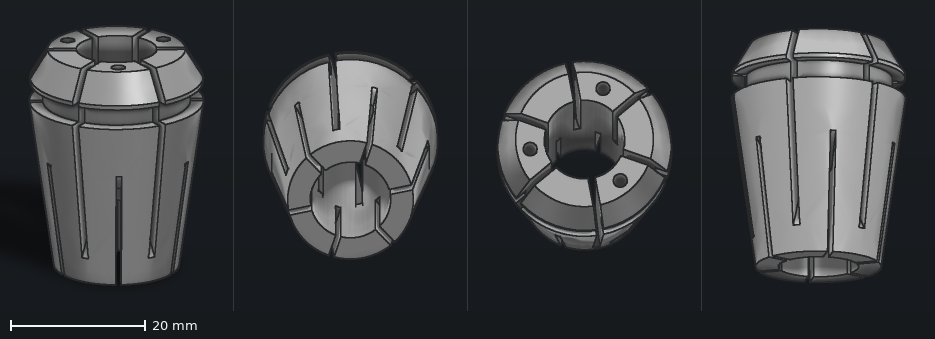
import cadquery as cq
import math

LENGTH = 34.0
BODY_TOP_Z = 25.87
GROOVE_TOP_Z = 28.95
RIM_TOP_Z = 29.58
BODY_DIAMETER = 26.0
BODY_RADIUS = BODY_DIAMETER / 2
TAPER_ANGLE = 8.0
GROOVE_RADIUS = 11.0
RIM_RADIUS = 12.92
NOSE_RADIUS = 10.27
BORE_RADIUS = 6.0
BASE_RADIUS = BODY_RADIUS - BODY_TOP_Z * math.tan(math.radians(TAPER_ANGLE))

SLOT_COUNT = 6
SLOT_PITCH = 360 / SLOT_COUNT
BLADE_RADIUS = 25.0
TOP_SLOT_WIDTH = 1.05
TOP_BLADE_R = 30.77
TOP_BLADE_Z = 17.8
BOTTOM_SLOT_WIDTH = 0.8
BOTTOM_BLADE_R = 30.77
BOTTOM_BLADE_Z = 1.63
BOTTOM_SLOT_FLAT_Z = 12.95

HOLE_COUNT = 3
HOLE_RADIUS = 1.02
HOLE_CENTER_R = 8.23
HOLE_FLOOR_Z = 12.8
HOLE_LEAN = 0.85


def make_body():
    """Revolve the wall section around Z."""
    section = [
        (BORE_RADIUS, 0),
        (BASE_RADIUS, 0),
        (BODY_RADIUS, BODY_TOP_Z),
        (GROOVE_RADIUS, BODY_TOP_Z),
        (GROOVE_RADIUS, GROOVE_TOP_Z),
        (RIM_RADIUS, GROOVE_TOP_Z),
        (RIM_RADIUS, RIM_TOP_Z),
        (NOSE_RADIUS, LENGTH),
        (BORE_RADIUS, LENGTH),
    ]
    return cq.Workplane("XZ").polyline(section).close().revolve(360, (0, 0), (0, 1))


def make_blade(center_r, center_z, width):
    """Disc standing in the XZ plane, centred on Y = 0."""
    disc = cq.Workplane("XZ").center(center_r, center_z).circle(BLADE_RADIUS)
    return disc.extrude(width / 2, both=True)


def make_top_slot():
    """Blade cut along +X, continued straight up through the nose."""
    blade = make_blade(TOP_BLADE_R, TOP_BLADE_Z, TOP_SLOT_WIDTH)
    inner_r = TOP_BLADE_R - BLADE_RADIUS
    upper = cq.Workplane("XY").box(
        BLADE_RADIUS, TOP_SLOT_WIDTH, LENGTH - TOP_BLADE_Z, centered=(False, True, False)
    )
    return blade.union(upper.translate((inner_r, 0, TOP_BLADE_Z)))


def make_bottom_slot():
    """Flat-roofed cut along +X through the bore wall, deepened outside by the blade."""
    blade = make_blade(BOTTOM_BLADE_R, BOTTOM_BLADE_Z, BOTTOM_SLOT_WIDTH)
    inner = cq.Workplane("XY").box(
        BODY_RADIUS, BOTTOM_SLOT_WIDTH, BOTTOM_SLOT_FLAT_Z, centered=(False, True, False)
    )
    return blade.union(inner)


def make_hole():
    """Leaning round hole along +X with a flat floor square to its axis."""
    direction = cq.Vector(HOLE_LEAN, 0, HOLE_FLOOR_Z - LENGTH)
    overshoot = direction.normalized() * HOLE_RADIUS
    start = cq.Vector(HOLE_CENTER_R, 0, LENGTH) - overshoot
    height = direction.Length + overshoot.Length
    return cq.Workplane("XY").add(cq.Solid.makeCylinder(HOLE_RADIUS, height, start, direction))


def cut_around(body, cutter, count, first_angle):
    """Cut evenly spaced copies of a cutter around the collet axis."""
    for i in range(count):
        angle = first_angle + i * 360 / count
        body = body.cut(cutter.rotate((0, 0, 0), (0, 0, 1), angle))
    return body


result = make_body()
result = cut_around(result, make_top_slot(), SLOT_COUNT, 0)
result = cut_around(result, make_bottom_slot(), SLOT_COUNT, SLOT_PITCH / 2)
result = cut_around(result, make_hole(), HOLE_COUNT, 90)